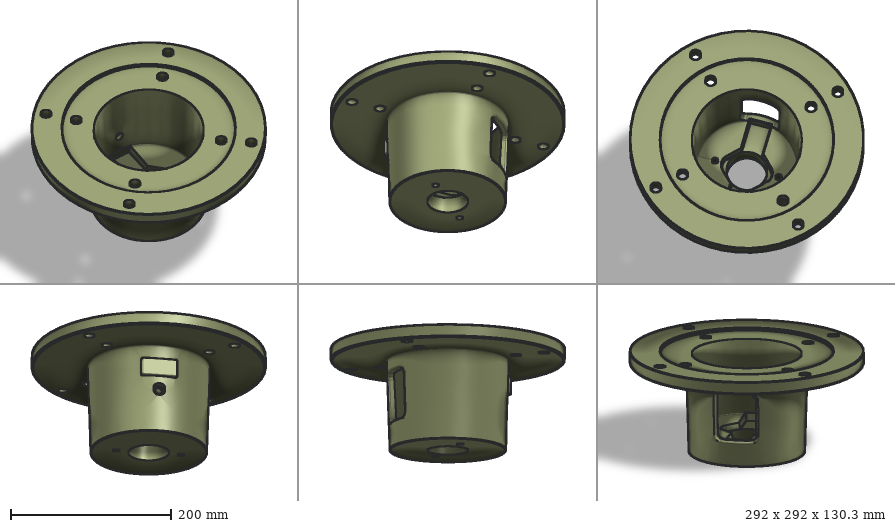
import cadquery as cq

total_height = 130.3
flange_diameter = 292.0
flange_thickness = 16.5
flange_top_chamfer = 1.0
flange_bottom_chamfer = 1.8

recess_diameter = 215.5
recess_depth = 3.5
recess_rim_chamfer = 1.0

bolt_hole_diameter = 13.5
bolt_circle_radii = (92.0, 130.3)

housing_top_radius = 76.2
housing_bottom_radius = 72.7
housing_bottom_chamfer = 1.0
flange_root_fillet = 1.0
bore_top_radius = 68.5
bore_floor_radius = 63.7
bore_floor_fillet = 1.2

floor_z = 29.2
floor_tilt = 2.0

pocket_depth = 7.3
pocket_draft = 12.0
slot_length = 125.5
slot_width = 25.7
diamond_side = 51.5
diamond_corner_radius = 11.7

shaft_hole_diameter = 50.8
floor_hole_diameter = 8.0
floor_hole_offset = 41.2

window_width = 50.2
window_sill_z = 32.5
window_top_z = 96.5
window_corner_radius = 7.0
window_rim_fillet = 2.3

side_hole_z = 55.8
side_hole_diameter = 10.2
side_hole_countersink_diameter = 15.8

plate_face_x = -76.5
plate_width = 45.5
plate_height = 23.5
plate_center_z = 85.0
plate_corner_radius = 2.5
plate_rim_fillet = 1.5

flange_bottom_z = total_height - flange_thickness
recess_z = total_height - recess_depth
housing_draft_width = housing_top_radius - housing_bottom_radius
bore_slope = (bore_top_radius - bore_floor_radius) / (recess_z - floor_z)


def make_flange():
    flange = cq.Workplane("XY", origin=(0, 0, flange_bottom_z))
    flange = flange.circle(flange_diameter / 2).extrude(flange_thickness)
    flange = flange.faces(">Z").chamfer(flange_top_chamfer)
    return flange.faces("<Z").chamfer(flange_bottom_chamfer)


def make_housing():
    return (
        cq.Workplane("XZ")
        .polyline([
            (0, 0),
            (housing_bottom_radius, 0),
            (housing_top_radius, flange_bottom_z),
            (housing_top_radius, recess_z),
            (0, recess_z),
        ])
        .close()
        .revolve(360, (0, 0), (0, 1))
        .faces("<Z")
        .chamfer(housing_bottom_chamfer)
        .rotate((0, 0, 0), (0, 0, 1), 180)
    )


def make_bore():
    """Tapered bore whose two mirrored halves each end on one sloping floor plane with a rounded edge."""
    span = 2 * flange_diameter
    cone = (
        cq.Workplane("XZ")
        .polyline([
            (0, 0),
            (bore_floor_radius - floor_z * bore_slope, 0),
            (bore_top_radius, recess_z),
            (0, recess_z),
        ])
        .close()
        .revolve(360, (0, 0), (0, 1))
    )
    space_over_floor = (
        cq.Workplane("XY")
        .box(span, span, span, centered=(True, True, False))
        .rotate((0, 0, 0), (0, 1, 0), -floor_tilt)
        .translate((0, 0, floor_z))
    )
    bore = cone.intersect(space_over_floor)
    bore = bore.edges("%ELLIPSE").fillet(bore_floor_fillet)
    half_bore = bore.intersect(cq.Workplane("XY").box(span, span, span, centered=(False, True, True)))
    return half_bore.union(half_bore.mirror("YZ"))


def make_window():
    return (
        cq.Workplane("XY", origin=(0, 0, window_sill_z))
        .box(flange_diameter / 2, window_width, window_top_z - window_sill_z, centered=(False, True, False))
        .edges("|X")
        .fillet(window_corner_radius)
    )


def make_pocket():
    base = cq.Workplane("XY", origin=(0, 0, floor_z - pocket_depth))
    height = pocket_depth + 3.0
    slot = base.rect(slot_length, slot_width).extrude(height, taper=-pocket_draft)
    diamond = (
        base.sketch()
        .rect(diamond_side, diamond_side, angle=45)
        .vertices()
        .fillet(diamond_corner_radius)
        .finalize()
        .extrude(height, taper=-pocket_draft)
    )
    return slot.union(diamond)


def make_vertical_holes():
    holes = cq.Workplane("XY").circle(shaft_hole_diameter / 2).extrude(total_height)
    holes = holes.union(
        cq.Workplane("XY")
        .pushPoints([(0, floor_hole_offset), (0, -floor_hole_offset)])
        .circle(floor_hole_diameter / 2)
        .extrude(total_height)
    )
    for radius in bolt_circle_radii:
        holes = holes.union(
            cq.Workplane("XY", origin=(0, 0, flange_bottom_z))
            .polarArray(radius, 45, 360, 4)
            .circle(bolt_hole_diameter / 2)
            .extrude(flange_thickness)
        )
    return holes


def make_side_hole():
    countersink_depth = (side_hole_countersink_diameter - side_hole_diameter) / 2
    wall_x = -(housing_bottom_radius + housing_draft_width * side_hole_z / flange_bottom_z)
    return (
        cq.Workplane("XY")
        .polyline([
            (0, 0),
            (0, side_hole_diameter / 2),
            (wall_x + countersink_depth, side_hole_diameter / 2),
            (wall_x, side_hole_countersink_diameter / 2),
            (wall_x - countersink_depth, side_hole_countersink_diameter / 2),
            (wall_x - countersink_depth, 0),
        ])
        .close()
        .revolve(360, (0, 0), (1, 0))
        .translate((0, 0, side_hole_z))
    )


def make_plate():
    return (
        cq.Workplane("YZ", origin=(plate_face_x, 0, plate_center_z))
        .rect(plate_width, plate_height)
        .extrude(-plate_face_x - bore_top_radius)
        .edges("|X")
        .fillet(plate_corner_radius)
        .faces("<X")
        .edges()
        .fillet(plate_rim_fillet)
    )


def make_recess():
    flange_face = cq.Workplane("XY", origin=(0, 0, total_height))
    recess = flange_face.circle(recess_diameter / 2).extrude(-recess_depth)
    rim = (
        flange_face
        .circle(recess_diameter / 2 + recess_rim_chamfer)
        .extrude(-recess_rim_chamfer, taper=45)
    )
    return recess.union(rim)


def round_housing_root(body):
    margin = 3.0
    reach = housing_top_radius + margin
    root_edge = cq.selectors.BoxSelector(
        (-reach, -reach, flange_bottom_z - margin),
        (reach, reach, flange_bottom_z + margin),
        boundingbox=True,
    )
    return body.edges(root_edge).fillet(flange_root_fillet)


def round_window_rim(body):
    """Round the edges where the window opens through the outside of the housing."""
    inner_x = (bore_top_radius + housing_top_radius) / 2 - housing_draft_width
    rim_edges = cq.selectors.BoxSelector(
        (inner_x, -window_width, floor_z),
        (flange_diameter / 2, window_width, window_top_z + window_rim_fillet),
    )
    return body.edges(rim_edges).fillet(window_rim_fillet)


body = make_flange().cut(make_recess()).union(make_housing())
body = round_housing_root(body)
body = body.cut(make_bore()).cut(make_window())
body = round_window_rim(body)
body = body.union(make_plate())
result = body.cut(make_pocket()).cut(make_vertical_holes()).cut(make_side_hole())